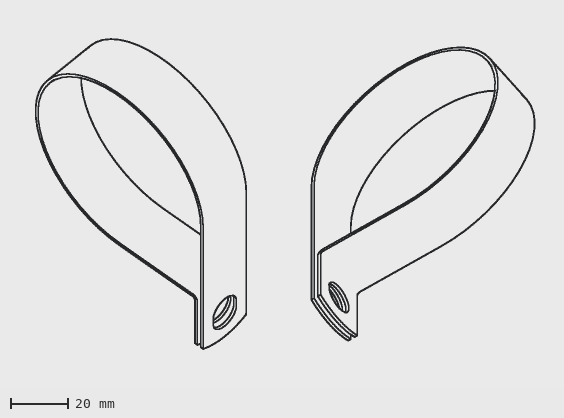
import cadquery as cq
import math

loop_diameter = 80.21
overall_height = 106.78
strap_width = 22.23
strap_thickness = 1.22
tab_gap = 1.55
bend_inner_radius = 1.15
tab_end_radius = 25.4
hole_diameter = 11.906
slot_length = 14.29
hole_to_tip = 12.7

outer_radius = loop_diameter / 2
inner_radius = outer_radius - strap_thickness
bend_outer_radius = bend_inner_radius + strap_thickness
tip_z = outer_radius - overall_height
hole_z = tip_z + hole_to_tip
short_tab_outer_x = inner_radius - tab_gap
short_tab_inner_x = short_tab_outer_x - strap_thickness
bend_center_x = short_tab_inner_x - bend_inner_radius
bend_center_z = -outer_radius - bend_inner_radius


def point_at_45(center_x, center_z, radius, x_side, z_side):
    """Point midway along a quarter arc, in the quadrant given by the two signs."""
    leg = radius * math.sqrt(0.5)
    return center_x + x_side * leg, center_z + z_side * leg


def make_strap():
    """Bent strip: long tab, three-quarter loop, flat floor, bend and short tab."""
    profile = (
        cq.Workplane("XZ")
        .moveTo(outer_radius, tip_z)
        .lineTo(outer_radius, 0)
        .threePointArc(point_at_45(0, 0, outer_radius, -1, 1), (0, -outer_radius))
        .lineTo(bend_center_x, -outer_radius)
        .threePointArc(
            point_at_45(bend_center_x, bend_center_z, bend_inner_radius, 1, 1),
            (short_tab_inner_x, bend_center_z),
        )
        .lineTo(short_tab_inner_x, tip_z)
        .lineTo(short_tab_outer_x, tip_z)
        .lineTo(short_tab_outer_x, bend_center_z)
        .threePointArc(
            point_at_45(bend_center_x, bend_center_z, bend_outer_radius, 1, 1),
            (bend_center_x, -inner_radius),
        )
        .lineTo(0, -inner_radius)
        .threePointArc(point_at_45(0, 0, inner_radius, -1, 1), (inner_radius, 0))
        .lineTo(inner_radius, tip_z)
        .close()
    )
    return profile.extrude(strap_width / 2, both=True)


def make_tab_end_envelope():
    """Block around the whole strap whose lower end is the rounded tab outline."""
    half_width = strap_width / 2
    end_rise = tab_end_radius - math.sqrt(tab_end_radius**2 - half_width**2)
    corner_z = tip_z + end_rise
    return (
        cq.Workplane("YZ")
        .moveTo(-half_width, outer_radius)
        .lineTo(-half_width, corner_z)
        .threePointArc((0, tip_z), (half_width, corner_z))
        .lineTo(half_width, outer_radius)
        .close()
        .extrude(outer_radius, both=True)
    )


def make_short_tab_hole():
    """Round bolt hole through the short tab."""
    return (
        cq.Workplane("YZ", origin=(short_tab_inner_x, 0, hole_z))
        .circle(hole_diameter / 2)
        .extrude(strap_thickness)
    )


def make_long_tab_slot():
    """Bolt slot through the long tab, stretched along Z for adjustment."""
    upright = 90
    return (
        cq.Workplane("YZ", origin=(inner_radius, 0, hole_z))
        .slot2D(slot_length, hole_diameter, upright)
        .extrude(strap_thickness)
    )


strap = make_strap().intersect(make_tab_end_envelope())
result = strap.cut(make_short_tab_hole()).cut(make_long_tab_slot())